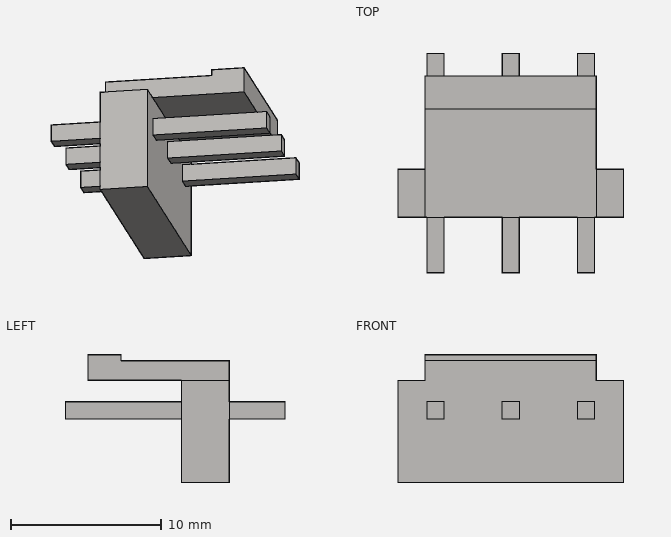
import cadquery as cq

wall_width = 15.0
wall_thickness = 3.2
wall_height = 6.8

plate_width = 11.4
plate_depth = 9.4
plate_thickness = 1.3
lip_depth = 2.2
lip_height = 0.4

pin_count = 3
pin_pitch = 5.0
pin_side = 1.15
pin_length = 14.6
pin_front_reach = 3.7
pin_center_height = 4.8


def block(width, depth, height, x_center, y_front, z_bottom):
    """Box centred in X, starting at the given front face and underside."""
    return (
        cq.Workplane("XY")
        .box(width, depth, height, centered=(True, False, False))
        .translate((x_center, y_front, z_bottom))
    )


def make_housing():
    """Wall, latch plate and lip; the wall's front face lies on Y = 0."""
    plate_top = wall_height + plate_thickness
    wall = block(wall_width, wall_thickness, wall_height, 0, 0, 0)
    plate = block(plate_width, plate_depth, plate_thickness, 0, 0, wall_height)
    lip = block(plate_width, lip_depth, lip_height, 0, plate_depth - lip_depth, plate_top)
    return wall.union(plate).union(lip)


def add_pins(body):
    """Row of pins running along Y, spaced evenly about X = 0."""
    pin_bottom = pin_center_height - pin_side / 2
    for index in range(pin_count):
        x_center = (index - (pin_count - 1) / 2) * pin_pitch
        pin = block(pin_side, pin_length, pin_side, x_center, -pin_front_reach, pin_bottom)
        body = body.union(pin)
    return body


result = add_pins(make_housing())